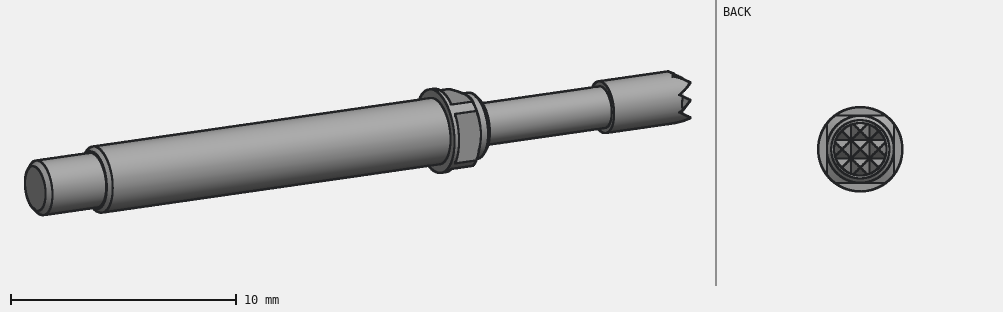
import cadquery as cq
import math

total_length = 32.3

tail_length = 2.9
flange_seat = 19.95
flange_thickness = 0.23
nut_length = 1.3
collar_length = 0.55
head_length = 4.0

tail_radius = 1.23
barrel_radius = 1.5
flange_radius = 1.87
rod_radius = 0.95
head_radius = 1.15

tail_chamfer = 0.23
barrel_chamfer = 0.2
collar_chamfer = 0.2

nut_width = 2 * barrel_radius
nut_bevel_angle = 30.0

tooth_pitch = 0.8
groove_angle = 60.0

nut_base = flange_seat + flange_thickness
nut_top = nut_base + nut_length
collar_top = nut_top + collar_length
head_base = total_length - head_length


def cylinder(radius, start, end):
    """Solid cylinder on the Y axis from Y = start to Y = end."""
    along_y = cq.Workplane("XZ", origin=(0, start, 0))
    return along_y.circle(radius).extrude(start - end)


def make_tail():
    tail = cylinder(tail_radius, 0, tail_length)
    return tail.faces("<Y").chamfer(tail_chamfer)


def make_barrel():
    """Long barrel, running on through the square section to the collar."""
    barrel = cylinder(barrel_radius, tail_length, collar_top)
    barrel = barrel.faces("<Y").chamfer(barrel_chamfer)
    return barrel.faces(">Y").chamfer(collar_chamfer)


def make_nut():
    """Square section with corners rounded to the flange and bevelled towards the collar."""
    square = (
        cq.Workplane("XZ", origin=(0, nut_base, 0))
        .rect(nut_width, nut_width)
        .extrude(-nut_length)
    )
    bevel_drop = (flange_radius - barrel_radius) * math.tan(math.radians(nut_bevel_angle))
    envelope = (
        cq.Workplane("XY")
        .moveTo(0, nut_base)
        .lineTo(flange_radius, nut_base)
        .lineTo(flange_radius, nut_top - bevel_drop)
        .lineTo(barrel_radius, nut_top)
        .lineTo(0, nut_top)
        .close()
        .revolve(360, (0, 0, 0), (0, 1, 0))
    )
    return square.intersect(envelope)


def make_groove(offset):
    """V groove along Z, centred at X = offset, with its mouth at the tooth tips."""
    half_pitch = tooth_pitch / 2
    depth = half_pitch / math.tan(math.radians(groove_angle / 2))
    return (
        cq.Workplane("XY")
        .moveTo(offset - half_pitch, total_length)
        .lineTo(offset, total_length - depth)
        .lineTo(offset + half_pitch, total_length)
        .close()
        .extrude(2 * head_radius, both=True)
    )


def make_head():
    """Contact head with three rows of teeth in each direction."""
    head = cylinder(head_radius, head_base, total_length)
    for step in (-1.5, -0.5, 0.5, 1.5):
        groove = make_groove(step * tooth_pitch)
        head = head.cut(groove)
        head = head.cut(groove.rotate((0, 0, 0), (0, 1, 0), 90))
    return head


flange = cylinder(flange_radius, flange_seat, nut_base)
rod = cylinder(rod_radius, collar_top, head_base)

result = (
    make_barrel()
    .union(make_tail())
    .union(flange)
    .union(make_nut())
    .union(rod)
    .union(make_head())
)